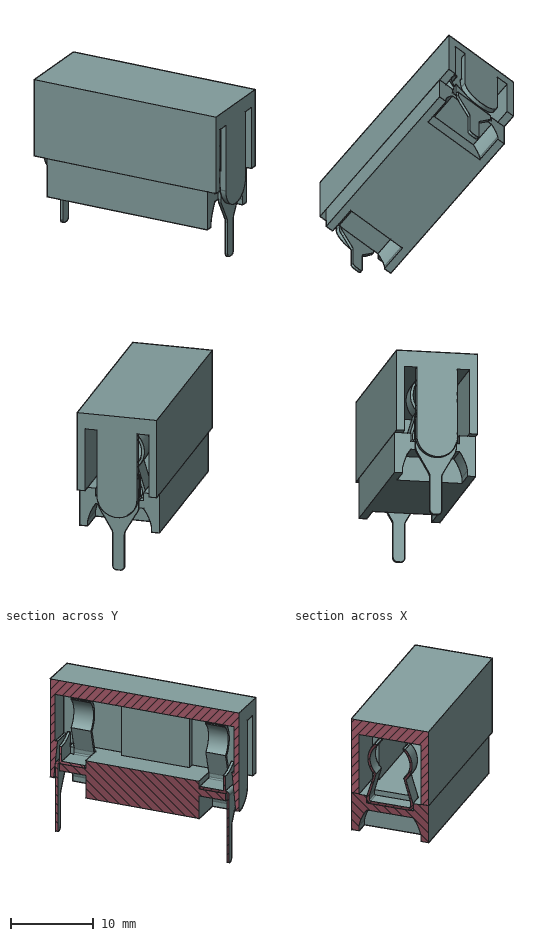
import cadquery as cq
import math

COVER_LENGTH = 25.0
COVER_WIDTH = 10.0
COVER_TOP = 15.0
BASE_LENGTH = 22.0
BASE_TOP = 5.0
BASE_CENTER_X = 0.3

COVER_CEILING = 13.0
END_CHAMBER_WIDTH = 8.0
END_CHAMBER_LENGTH = 8.0
MIDDLE_CHAMBER_WIDTH = 6.3
TONGUE_WIDTH = 5.0
TONGUE_TIP_Z = 1.93
TONGUE_ROOT_THICKNESS = 0.7
LATCH_Z = 6.9
LATCH_THICKNESS = 1.0
TONGUE_TIP_THICKNESS = 0.5

SHEET = 0.35
CLIP_FLOOR_Z = 4.0
CLIP_WIDTH = 6.0
CLIP_CORNER_RADIUS = 0.5
FUSE_AXIS_Z = 10.0
GRIP_RADIUS = 2.9
ARM_KINK_Z = BASE_TOP
NECK_HALF_WIDTH = 2.1
GRIP_TOP_HALF_WIDTH = 2.0
CLIP_OUTER_END = 10.2
CLIP_INNER_END = 7.6
TAB_WIDTH = TONGUE_WIDTH
STOP_RELIEF_RADIUS = 3.7
STOP_TOP_Z = 7.2
PIN_OUTER_FACE = 11.5
BEND_RADIUS = 0.5
SHOULDER_Z = 2.87
TAPER_BLEND_RADIUS = 1.0
PIN_WIDTH = 1.45
PIN_TOP_Z = -0.2
PIN_TIP_Z = -5.1
PIN_TIP_RADIUS = 0.5

CLIP_POCKET_INNER_END = 7.5
ARCH_WIDTH = 8.0
ARCH_TOP_WIDTH = 6.0
ARCH_TOP_Z = 3.0
ARCH_SIDE_Z = 0.7
ARCH_DEPTH = 3.5
SIDE_BULGE = 0.15

ENDS = (-1, 1)


def box(x0, x1, width, z0, z1):
    """Block between two X positions, centred on Y."""
    return cq.Workplane("XY").box(abs(x1 - x0), width, z1 - z0).translate(
        ((x0 + x1) / 2, 0, (z0 + z1) / 2)
    )


def end_plate(x_outer, thickness, outline):
    """Extrude a YZ outline inward (+X) from the plane at x_outer."""
    return outline.extrude(thickness).translate((x_outer, 0, 0))


def at_end(shape, end):
    """Place a shape made for the -X end (about X = 0) at the chosen end of the base."""
    placed = shape if end < 0 else shape.mirror("YZ")
    return placed.translate((BASE_CENTER_X, 0, 0))


def make_tongue():
    """Tapered latch tongue in the -X end of the cover, rounded at its tip."""
    face_x = -COVER_LENGTH / 2
    profile = (
        cq.Workplane("XZ")
        .moveTo(face_x, COVER_CEILING)
        .lineTo(face_x + TONGUE_ROOT_THICKNESS, COVER_CEILING)
        .lineTo(face_x + TONGUE_ROOT_THICKNESS, LATCH_Z)
        .lineTo(face_x + LATCH_THICKNESS, LATCH_Z)
        .lineTo(face_x + TONGUE_TIP_THICKNESS, TONGUE_TIP_Z)
        .lineTo(face_x, TONGUE_TIP_Z)
        .close()
        .extrude(TONGUE_WIDTH / 2, both=True)
    )
    half = TONGUE_WIDTH / 2
    arc_z = TONGUE_TIP_Z + half
    outline = (
        cq.Workplane("YZ")
        .moveTo(-half, COVER_CEILING)
        .lineTo(-half, arc_z)
        .threePointArc((0, TONGUE_TIP_Z), (half, arc_z))
        .lineTo(half, COVER_CEILING)
        .close()
    )
    return profile.intersect(end_plate(face_x, LATCH_THICKNESS, outline))


def make_cover():
    half = COVER_LENGTH / 2
    cover = box(-half, half, COVER_WIDTH, BASE_TOP, COVER_TOP)
    cover = cover.cut(box(-half, half, MIDDLE_CHAMBER_WIDTH, BASE_TOP, COVER_CEILING))
    for end in ENDS:
        chamber = box(
            end * half, end * (half - END_CHAMBER_LENGTH), END_CHAMBER_WIDTH, BASE_TOP, COVER_CEILING
        )
        cover = cover.cut(chamber)
    tongue = make_tongue()
    return cover.union(tongue).union(tongue.mirror("YZ"))


def make_arm_pair():
    """Spring clip: a channel whose arms lean inward, then curl around the fuse."""
    def outline(offset):
        half = CLIP_WIDTH / 2 - offset
        radius = GRIP_RADIUS - offset
        floor_z = CLIP_FLOOR_Z + offset
        corner = CLIP_CORNER_RADIUS - offset
        neck = NECK_HALF_WIDTH - offset
        top = GRIP_TOP_HALF_WIDTH - offset
        neck_z = FUSE_AXIS_Z - math.sqrt(radius**2 - neck**2)
        top_z = FUSE_AXIS_Z + math.sqrt(radius**2 - top**2)
        return (
            cq.Workplane("YZ")
            .moveTo(-top, top_z)
            .threePointArc((-radius, FUSE_AXIS_Z), (-neck, neck_z))
            .lineTo(-half, ARM_KINK_Z)
            .lineTo(-half, floor_z + corner)
            .radiusArc((-half + corner, floor_z), -corner)
            .lineTo(half - corner, floor_z)
            .radiusArc((half, floor_z + corner), -corner)
            .lineTo(half, ARM_KINK_Z)
            .lineTo(neck, neck_z)
            .threePointArc((radius, FUSE_AXIS_Z), (top, top_z))
            .close()
        )

    length = CLIP_OUTER_END - CLIP_INNER_END
    clip = outline(0).extrude(length).cut(outline(SHEET).extrude(length))
    top_z = FUSE_AXIS_Z + math.sqrt(GRIP_RADIUS**2 - GRIP_TOP_HALF_WIDTH**2)
    mouth_z = FUSE_AXIS_Z + math.sqrt((GRIP_RADIUS - SHEET)**2 - (GRIP_TOP_HALF_WIDTH - SHEET)**2)
    mouth = box(0, length, 2 * (GRIP_TOP_HALF_WIDTH - SHEET), mouth_z - SHEET, top_z + SHEET)
    return clip.cut(mouth).translate((-CLIP_OUTER_END, 0, 0))


def make_fuse_stop():
    """Upright plate at the end of the base with a concave upper edge."""
    x0 = -BASE_LENGTH / 2
    plate = box(x0, x0 + SHEET, TAB_WIDTH, CLIP_FLOOR_Z, STOP_TOP_Z)
    relief = (
        cq.Workplane("YZ")
        .center(0, FUSE_AXIS_Z)
        .circle(STOP_RELIEF_RADIUS)
        .extrude(SHEET)
        .translate((x0, 0, 0))
    )
    return plate.cut(relief)


def make_tab_and_pin():
    """Sheet that leaves the clip, bends down past the base and tapers to the pin."""
    outer_x = -PIN_OUTER_FACE
    inner_x = outer_x + SHEET
    top_z = CLIP_FLOOR_Z + SHEET
    inner_bend = BEND_RADIUS - SHEET
    strip = (
        cq.Workplane("XZ")
        .moveTo(outer_x, PIN_TIP_Z)
        .lineTo(outer_x, top_z - BEND_RADIUS)
        .radiusArc((outer_x + BEND_RADIUS, top_z), BEND_RADIUS)
        .lineTo(-CLIP_OUTER_END, top_z)
        .lineTo(-CLIP_OUTER_END, CLIP_FLOOR_Z)
        .lineTo(inner_x + inner_bend, CLIP_FLOOR_Z)
        .radiusArc((inner_x, CLIP_FLOOR_Z - inner_bend), -inner_bend)
        .lineTo(inner_x, PIN_TIP_Z)
        .close()
        .extrude(TAB_WIDTH / 2, both=True)
    )
    half_tab = TAB_WIDTH / 2
    half_pin = PIN_WIDTH / 2
    outline = (
        cq.Workplane("YZ")
        .polyline([
            (-half_tab, top_z), (half_tab, top_z), (half_tab, SHOULDER_Z), (half_pin, PIN_TOP_Z),
            (half_pin, PIN_TIP_Z), (-half_pin, PIN_TIP_Z), (-half_pin, PIN_TOP_Z), (-half_tab, SHOULDER_Z),
        ])
        .close()
    )
    reach = PIN_OUTER_FACE - CLIP_OUTER_END
    blank = end_plate(outer_x, reach, outline)
    blank = blank.edges("|X and (not >Z) and (not <Z)").fillet(TAPER_BLEND_RADIUS)
    blank = blank.edges("|X and <Z").fillet(PIN_TIP_RADIUS)
    return strip.intersect(blank)


def make_terminal(end):
    terminal = make_arm_pair().union(make_fuse_stop()).union(make_tab_and_pin())
    return at_end(terminal, end)


def make_arch():
    """Recess in the -X end of the base, with bowed sides narrowing upward."""
    half_foot = ARCH_WIDTH / 2
    half_top = ARCH_TOP_WIDTH / 2
    bow = ((half_foot + half_top) / 2 + SIDE_BULGE, (ARCH_SIDE_Z + ARCH_TOP_Z) / 2)
    outline = (
        cq.Workplane("YZ")
        .moveTo(-half_foot, 0)
        .lineTo(-half_foot, ARCH_SIDE_Z)
        .threePointArc((-bow[0], bow[1]), (-half_top, ARCH_TOP_Z))
        .lineTo(half_top, ARCH_TOP_Z)
        .threePointArc(bow, (half_foot, ARCH_SIDE_Z))
        .lineTo(half_foot, 0)
        .close()
    )
    return end_plate(-BASE_LENGTH / 2, ARCH_DEPTH, outline)


def make_base():
    half = BASE_LENGTH / 2
    base = box(-half, half, COVER_WIDTH, 0, BASE_TOP).translate((BASE_CENTER_X, 0, 0))
    clip_pocket = box(-half, -CLIP_POCKET_INNER_END, CLIP_WIDTH, CLIP_FLOOR_Z, BASE_TOP)
    for end in ENDS:
        base = base.cut(at_end(clip_pocket, end)).cut(at_end(make_arch(), end))
    return base


cover = make_cover()
base = make_base()
terminals = [make_terminal(end) for end in ENDS]

result = cq.Compound.makeCompound([cover.val(), base.val(), *[t.val() for t in terminals]])